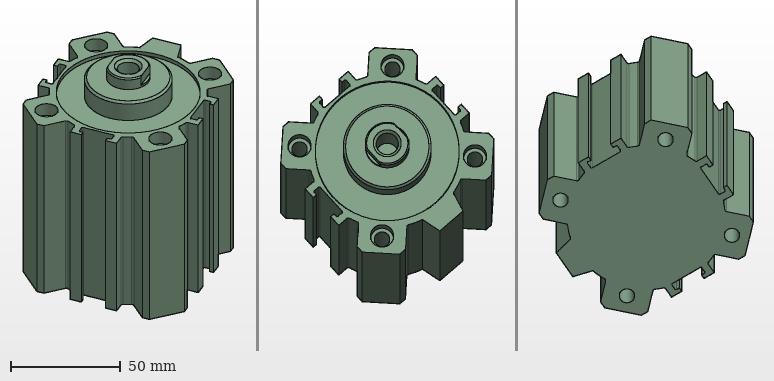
import cadquery as cq
import math

TOTAL_HEIGHT = 107.0
HOUSING_HEIGHT = 92.8
COLLAR_TOP = 101.0

CORE_RADIUS = 36.0
LUG_FILLET = 1.1
LUG_REACH = 40.0
LUG_WIDTH = 22.0
LUG_TIP_WIDTH = 17.1
RIB_REACH = 44.0
RIB_TIP_WIDTH = 14.1
RIB_ROOT_WIDTH = 18.8
RIB_ROOT_REACH = 34.7

RAIL_REACH = 39.7
RAIL_FILLET = 0.9
RAIL_WIDTH = 23.0
SLOT_FLOOR = 34.1
SLOT_WIDTH = 16.0
LIP_REACH = 37.7
SLOT_FILLET = 0.5
MOUTH_WIDTH = 12.0
RAIL_ANGLES = (0, 180, 270)

LUG_ANGLES = (45, 135, 225, 315)
HOLE_OFFSET = 28.2
HOLE_DIAMETER = 7.0
COUNTERBORE_DIAMETER = 10.5
COUNTERBORE_DEPTH = 6.4

RECESS_DIAMETER = 65.5
RECESS_DEPTH = 1.9
COLLAR_DIAMETER = 40.0
COLLAR_CHAMFER = 1.1

ROD_DIAMETER = 20.0
ROD_BOTTOM = HOUSING_HEIGHT / 2
ROD_CHAMFER = 0.6
FLAT_SPACING = 17.0
FLAT_HEIGHT = 4.8
BORE_DIAMETER = 10.1
BORE_DEPTH = ROD_DIAMETER
BORE_CHAMFER = 1.3


def prism(points):
    """Extrude a closed outline over the full housing height."""
    return cq.Workplane("XY").polyline(points).close().extrude(HOUSING_HEIGHT)


def block(x_start, x_end, width):
    """Full-height block along +X, centred on the X axis."""
    return prism([
        (x_start, -width / 2),
        (x_end, -width / 2),
        (x_end, width / 2),
        (x_start, width / 2),
    ])


def turned(shape, angle):
    """Copy of the shape turned about the Z axis."""
    return shape.rotate((0, 0, 0), (0, 0, 1), angle)


def lug():
    """Diagonal lug along +X, its tip corners cut at 45 degrees."""
    corner_sum = LUG_REACH * math.sqrt(2)
    half_width = LUG_WIDTH / 2
    half_tip = LUG_TIP_WIDTH / 2
    return prism([
        (0, -half_width),
        (corner_sum - half_width, -half_width),
        (corner_sum - half_tip, -half_tip),
        (corner_sum - half_tip, half_tip),
        (corner_sum - half_width, half_width),
        (0, half_width),
    ])


def rib():
    """Tapered rib on the +Y side."""
    return prism([
        (0, 0),
        (-RIB_ROOT_WIDTH / 2, RIB_ROOT_REACH),
        (-RIB_TIP_WIDTH / 2, RIB_REACH),
        (RIB_TIP_WIDTH / 2, RIB_REACH),
        (RIB_ROOT_WIDTH / 2, RIB_ROOT_REACH),
    ])


def undercut_slot():
    """T-shaped slot along +X that splits a rail block into two lipped rails."""
    cavity = block(SLOT_FLOOR, LIP_REACH, SLOT_WIDTH).edges("|Z").fillet(SLOT_FILLET)
    mouth = block(SLOT_FLOOR, RAIL_REACH, MOUTH_WIDTH)
    return cavity.union(mouth)


def root_points(angles, width):
    """Points where the two flanks of each lug or rail block of this width meet the core."""
    spread = math.degrees(math.asin(width / 2 / CORE_RADIUS))
    return [
        (CORE_RADIUS * math.cos(math.radians(side)), CORE_RADIUS * math.sin(math.radians(side)))
        for angle in angles
        for side in (angle - spread, angle + spread)
    ]


def make_profile():
    """Extruded core with its lugs, rib and slotted rail pairs."""
    body = cq.Workplane("XY").circle(CORE_RADIUS).extrude(HOUSING_HEIGHT)
    for angle in LUG_ANGLES:
        body = body.union(turned(lug(), angle))
    body = body.union(rib())
    for angle in RAIL_ANGLES:
        body = body.union(turned(block(0, RAIL_REACH, RAIL_WIDTH), angle))
    mid = HOUSING_HEIGHT / 2
    lug_roots = root_points(LUG_ANGLES, LUG_WIDTH)
    rail_roots = root_points(RAIL_ANGLES, RAIL_WIDTH)
    for roots, radius in ((lug_roots, LUG_FILLET), (rail_roots, RAIL_FILLET)):
        for x, y in roots:
            body = body.edges(cq.NearestToPointSelector((x, y, mid))).fillet(radius)
    for angle in RAIL_ANGLES:
        body = body.cut(turned(undercut_slot(), angle))
    return body


def make_housing():
    """Profile with mounting holes, recessed end cover, collar and rod hole."""
    body = (
        make_profile().faces(">Z").workplane(origin=(0, 0, HOUSING_HEIGHT))
        .rect(2 * HOLE_OFFSET, 2 * HOLE_OFFSET, forConstruction=True).vertices()
        .cboreHole(HOLE_DIAMETER, COUNTERBORE_DIAMETER, COUNTERBORE_DEPTH)
    )

    recess_floor = HOUSING_HEIGHT - RECESS_DEPTH
    recess = (
        cq.Workplane("XY").workplane(offset=recess_floor)
        .circle(RECESS_DIAMETER / 2).extrude(RECESS_DEPTH)
    )
    collar = (
        cq.Workplane("XY").workplane(offset=recess_floor)
        .circle(COLLAR_DIAMETER / 2).extrude(COLLAR_TOP - recess_floor)
        .faces(">Z").edges().chamfer(COLLAR_CHAMFER)
    )
    rod_hole = (
        cq.Workplane("XY").workplane(offset=ROD_BOTTOM)
        .circle(ROD_DIAMETER / 2).extrude(COLLAR_TOP - ROD_BOTTOM)
    )
    return body.cut(recess).union(collar).cut(rod_hole)


def make_rod():
    rod = (
        cq.Workplane("XY").workplane(offset=ROD_BOTTOM)
        .circle(ROD_DIAMETER / 2).extrude(TOTAL_HEIGHT - ROD_BOTTOM)
        .faces(">Z").edges().chamfer(ROD_CHAMFER)
        .faces(">Z").workplane().hole(BORE_DIAMETER, BORE_DEPTH)
        .faces(">Z").edges("%CIRCLE").edges(cq.selectors.RadiusNthSelector(0)).chamfer(BORE_CHAMFER)
    )
    flat_cuts = (
        cq.Workplane("XY").workplane(offset=TOTAL_HEIGHT - FLAT_HEIGHT)
        .pushPoints([(side * (FLAT_SPACING + ROD_DIAMETER) / 2, 0) for side in (-1, 1)])
        .rect(ROD_DIAMETER, ROD_DIAMETER).extrude(FLAT_HEIGHT)
    )
    return rod.cut(flat_cuts)


housing = make_housing()
rod = make_rod()
result = cq.Compound.makeCompound([housing.val(), rod.val()])